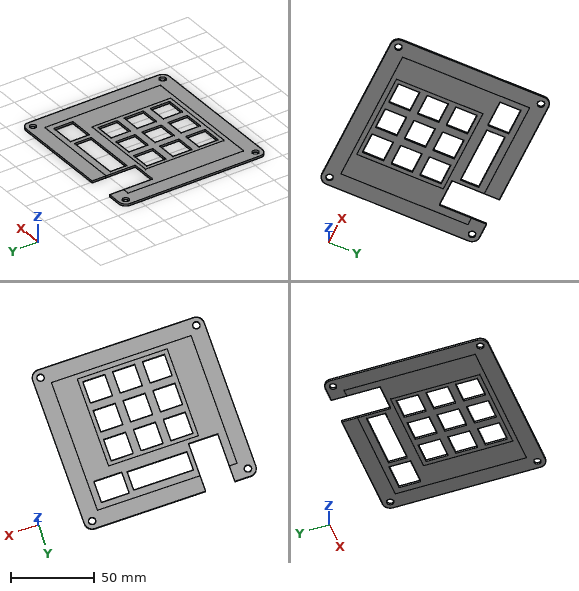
import cadquery as cq

PLATE_WIDTH = 109.3
PLATE_DEPTH = 104.5
THICKNESS = 1.5
CORNER_RADIUS = 5.0

SCREW_HOLE_DIAMETER = 4.4

BORDER = 10.2
PANEL_WIDTH = PLATE_WIDTH - 2 * BORDER
PANEL_DEPTH = PLATE_DEPTH - 2 * BORDER

NOTCH_LEFT = 15.1
NOTCH_WIDTH = 18.6
NOTCH_DEPTH = 31.4

DISPLAY_LEFT = 36.3
DISPLAY_FRONT = 77.5
DISPLAY_WIDTH = 38.0
DISPLAY_DEPTH = 12.0
SQUARE_WINDOW_LEFT = 77.5
SQUARE_WINDOW_FRONT = 76.6
SQUARE_WINDOW_WIDTH = 17.7
SQUARE_WINDOW_DEPTH = 13.8

KEYS_PER_SIDE = 3
KEY_PITCH = 19.0
KEY_OPENING = 14.0
KEYPAD_SIZE = 57.3
KEYPAD_LEFT = 26.5
KEYPAD_FRONT = 13.2
KEY_GRID_SIZE = (KEYS_PER_SIDE - 1) * KEY_PITCH + KEY_OPENING
KEY_MARGIN = (KEYPAD_SIZE - KEY_GRID_SIZE) / 2


def block(left, front, width, depth):
    """Rectangular block of the full plate thickness, placed by its front left corner."""
    return cq.Workplane("XY").box(width, depth, THICKNESS, centered=False).translate((left, front, 0))


def make_panel_outline():
    return block(BORDER, BORDER, PANEL_WIDTH, PANEL_DEPTH)


def make_keypad_outline():
    return block(KEYPAD_LEFT, KEYPAD_FRONT, KEYPAD_SIZE, KEYPAD_SIZE)


def make_notch():
    return block(NOTCH_LEFT, PLATE_DEPTH - NOTCH_DEPTH, NOTCH_WIDTH, NOTCH_DEPTH)


def make_screw_holes():
    return (
        cq.Workplane("XY")
        .center(PLATE_WIDTH / 2, PLATE_DEPTH / 2)
        .rect(PLATE_WIDTH - 2 * CORNER_RADIUS, PLATE_DEPTH - 2 * CORNER_RADIUS, forConstruction=True)
        .vertices()
        .circle(SCREW_HOLE_DIAMETER / 2)
        .extrude(THICKNESS)
    )


def make_frame():
    """Outer border with rounded corners and screw holes, open at the notch."""
    plate = block(0, 0, PLATE_WIDTH, PLATE_DEPTH).edges("|Z").fillet(CORNER_RADIUS)
    return plate.cut(make_panel_outline()).cut(make_notch()).cut(make_screw_holes())


def make_panel():
    """Inner panel with the notch, two windows and the opening for the keypad plate."""
    display_window = block(DISPLAY_LEFT, DISPLAY_FRONT, DISPLAY_WIDTH, DISPLAY_DEPTH)
    square_window = block(
        SQUARE_WINDOW_LEFT, SQUARE_WINDOW_FRONT, SQUARE_WINDOW_WIDTH, SQUARE_WINDOW_DEPTH
    )
    panel = make_panel_outline().cut(make_notch()).cut(make_keypad_outline())
    return panel.cut(display_window).cut(square_window)


def make_keypad():
    """Square plate with a grid of key openings."""
    keypad = make_keypad_outline()
    for column in range(KEYS_PER_SIDE):
        for row in range(KEYS_PER_SIDE):
            key_left = KEYPAD_LEFT + KEY_MARGIN + column * KEY_PITCH
            key_front = KEYPAD_FRONT + KEY_MARGIN + row * KEY_PITCH
            keypad = keypad.cut(block(key_left, key_front, KEY_OPENING, KEY_OPENING))
    return keypad


frame = make_frame()
panel = make_panel()
keypad = make_keypad()

result = cq.Compound.makeCompound([frame.val(), panel.val(), keypad.val()])